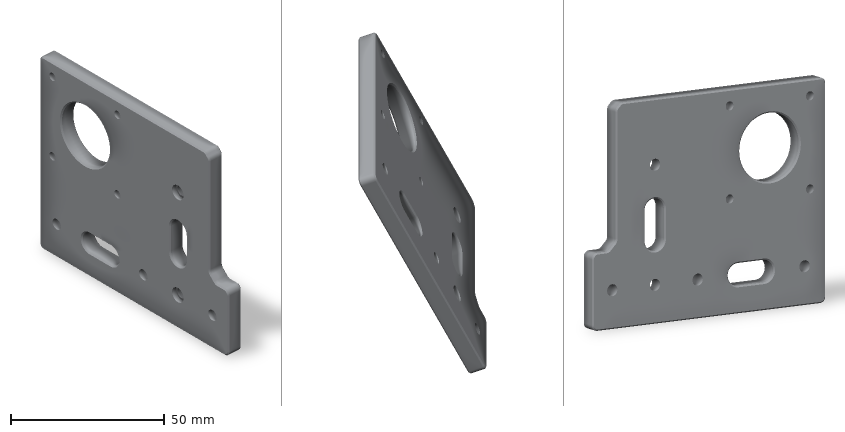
import cadquery as cq

plate_width = 90.12
plate_height = 75.01
plate_thickness = 6.0
edge_chamfer = 0.5
corner_radius = 2.0

upper_width = 81.1
foot_height = 26.0
upper_corner_chamfer = 2.0
notch_corner_chamfer = 3.0

motor_x = 21.75
motor_z = 54.0
motor_screw_pitch = 31.0
motor_screw_diameter = 3.0
pilot_diameter = 23.0

row_z = 13.0
row_left_x = 8.3
row_middle_x = 49.6
row_pitch = 16.5
column_x = row_middle_x + row_pitch
row_right_x = column_x + row_pitch
column_pitch = 40.0
mounting_hole_diameter = 4.0
counterbore_diameter = 5.5
counterbore_depth = 1.75

slot_width = 7.5
slot_travel = 10.0
slot_length = slot_travel + slot_width
row_slot_x = (row_left_x + row_middle_x) / 2
column_slot_z = row_z + column_pitch / 2


def front_plane():
    """Sketch plane on the front face; negative extrusions run into the plate, toward +Y."""
    return cq.Workplane("XZ")


def make_plate():
    outline = [
        (0, 0),
        (plate_width, 0),
        (plate_width, foot_height),
        (upper_width + notch_corner_chamfer, foot_height),
        (upper_width, foot_height + notch_corner_chamfer),
        (upper_width, plate_height - upper_corner_chamfer),
        (upper_width - upper_corner_chamfer, plate_height),
        (0, plate_height),
    ]
    plate = front_plane().polyline(outline).close().extrude(-plate_thickness)
    return plate.edges("|Y").fillet(corner_radius)


def make_holes(centers, diameter, depth=plate_thickness):
    return front_plane().pushPoints(centers).circle(diameter / 2).extrude(-depth)


def make_slot(x, z, angle):
    return front_plane().center(x, z).slot2D(slot_length, slot_width, angle).extrude(-plate_thickness)


def cut_motor_mount(plate):
    half_pitch = motor_screw_pitch / 2
    screw_centers = [
        (motor_x + side * half_pitch, motor_z + level * half_pitch)
        for side in (-1, 1)
        for level in (-1, 1)
    ]
    return plate.cut(make_holes(screw_centers, motor_screw_diameter))


def cut_mounting_holes(plate):
    plain_centers = [(x, row_z) for x in (row_left_x, row_middle_x, row_right_x)]
    column_centers = [(column_x, z) for z in (row_z, row_z + column_pitch)]
    plate = plate.cut(make_holes(plain_centers + column_centers, mounting_hole_diameter))
    return plate.cut(make_holes(column_centers, counterbore_diameter, counterbore_depth))


def cut_chamfered_openings(plate):
    """Cut the pilot bore and both slots; call before the outer edges are chamfered."""
    plate = plate.cut(make_holes([(motor_x, motor_z)], pilot_diameter))
    plate = plate.cut(make_slot(row_slot_x, row_z, angle=0))
    return plate.cut(make_slot(column_x, column_slot_z, angle=90))


result = make_plate()
result = cut_chamfered_openings(result)
result = result.faces("<Y or >Y").chamfer(edge_chamfer)
result = cut_motor_mount(result)
result = cut_mounting_holes(result)